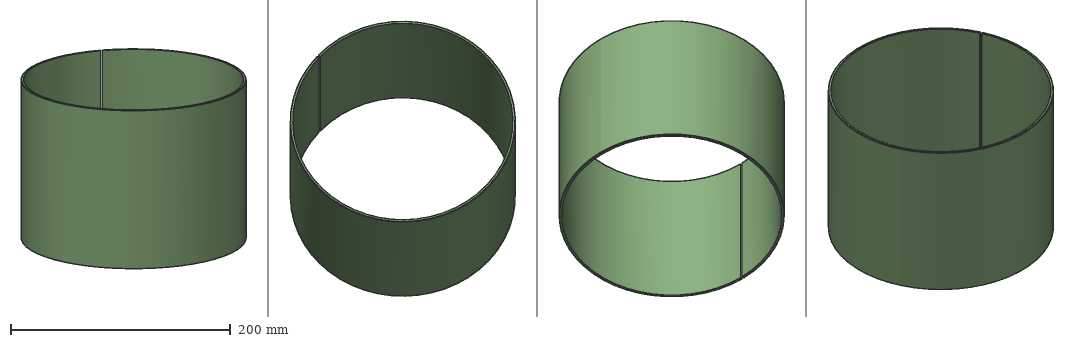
import cadquery as cq
import math

outer_diameter = 205.0
wall_thickness = 2.5
height = 150.0
outer_chamfer = 0.5
inner_chamfer = 0.2
slit_angle = 1.0

outer_radius = outer_diameter / 2
inner_radius = outer_radius - wall_thickness


def make_sleeve():
    """Tube around the Z axis, revolved from a wall section chamfered at both ends."""
    wall_section = [
        (inner_radius + inner_chamfer, 0),
        (outer_radius - outer_chamfer, 0),
        (outer_radius, outer_chamfer),
        (outer_radius, height - outer_chamfer),
        (outer_radius - outer_chamfer, height),
        (inner_radius + inner_chamfer, height),
        (inner_radius, height - inner_chamfer),
        (inner_radius, inner_chamfer),
    ]
    return cq.Workplane("XZ").polyline(wall_section).close().revolve(360, (0, 0), (0, 1))


def make_slit():
    """Wedge from the Z axis through the -X wall, opening from the XZ plane toward +Y."""
    reach = outer_diameter
    spread = reach * math.tan(math.radians(slit_angle))
    outline = [(0, 0), (-reach, 0), (-reach, spread)]
    return cq.Workplane("XY").polyline(outline).close().extrude(height)


result = make_sleeve().cut(make_slit())